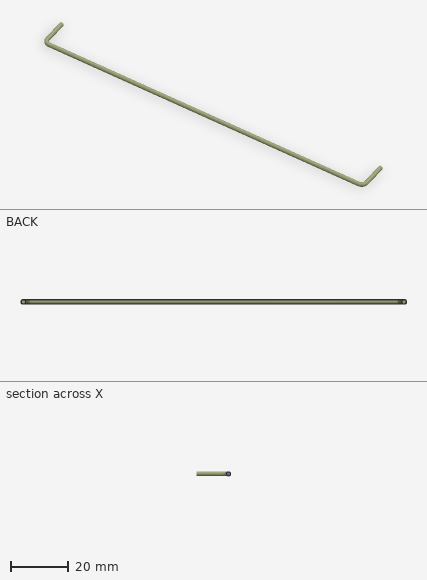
import cadquery as cq

overall_length = 135.0
overall_depth = 12.0
rod_diameter = 1.6
bend_radius = 2.0

half_span = (overall_length - rod_diameter) / 2
leg_length = overall_depth - rod_diameter / 2
straight_end = half_span - bend_radius

centreline = (
    cq.Workplane("XY")
    .moveTo(-half_span, leg_length)
    .lineTo(-half_span, bend_radius)
    .tangentArcPoint((-straight_end, 0), relative=False)
    .lineTo(straight_end, 0)
    .tangentArcPoint((half_span, bend_radius), relative=False)
    .lineTo(half_span, leg_length)
)

leg_tip = cq.Workplane("XZ", origin=(-half_span, leg_length, 0))
result = leg_tip.circle(rod_diameter / 2).sweep(centreline)